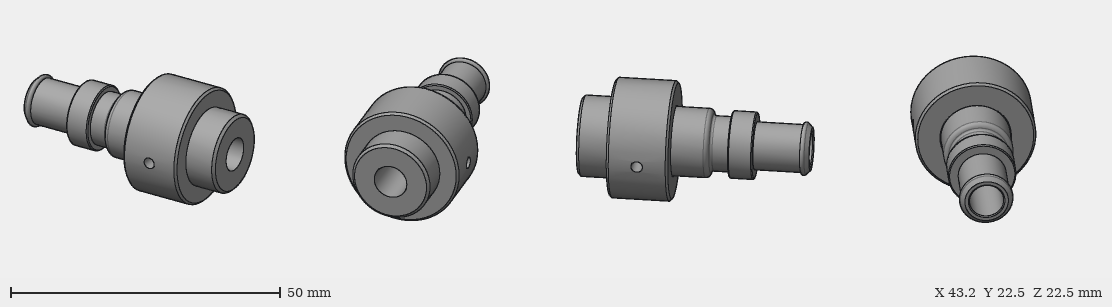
import cadquery as cq
import math

total_length = 43.15

neck_radius = 4.5
bead_radius = 0.5
bead_center_x = 1.15
lead_in_angle = math.radians(45)

collar_start = 10.4
collar_end = 14.95
collar_radius = 6.3
collar_chamfer = 0.2

groove_radius = 5.18
shoulder_radius = 6.45
blend_start = 18.0
blend_foot_radius = 0.5
blend_top_radius = 1.0

body_start = 25.55
body_end = 37.05
body_diameter = 22.48
body_radius = body_diameter / 2
body_chamfer = 0.45
shoulder_clearance = 0.17
clearance_depth = 0.45
shoulder_end = body_start + clearance_depth
spigot_radius = 7.6
spigot_chamfer = 0.5

bore_radius = 3.2
bore_chamfer = 0.2

side_hole_radius = 1.1
side_hole_depth = 4.3


def cylinder(start, end, radius):
    """Solid cylinder about the X axis between two X positions."""
    return cq.Workplane("YZ", origin=(start, 0, 0)).circle(radius).extrude(end - start)


def make_nozzle():
    """Neck with a conical lead-in that runs tangent into a round bead."""
    tangent_x = bead_center_x - bead_radius * math.sin(lead_in_angle)
    tangent_radius = neck_radius + bead_radius * math.cos(lead_in_angle)
    tip_radius = tangent_radius - tangent_x * math.tan(lead_in_angle)
    return (
        cq.Workplane("XY")
        .lineTo(0, tip_radius)
        .lineTo(tangent_x, tangent_radius)
        .threePointArc(
            (bead_center_x, neck_radius + bead_radius),
            (bead_center_x + bead_radius, neck_radius),
        )
        .lineTo(collar_start, neck_radius)
        .lineTo(collar_start, 0)
        .close()
        .revolve(360, (0, 0, 0), (1, 0, 0))
    )


def make_collar():
    return cylinder(collar_start, collar_end, collar_radius).faces("<X or >X").chamfer(collar_chamfer)


def make_groove_and_shoulder():
    """Groove floor rising to the shoulder through two mutually tangent arcs."""
    foot_center_radius = groove_radius + blend_foot_radius
    top_center_radius = shoulder_radius - blend_top_radius
    center_distance = blend_foot_radius + blend_top_radius
    radial_offset = foot_center_radius - top_center_radius
    blend_length = math.sqrt(center_distance**2 - radial_offset**2)
    blend_end = blend_start + blend_length

    foot_share = blend_foot_radius / center_distance
    meeting_point = (
        blend_start + foot_share * blend_length,
        foot_center_radius - foot_share * radial_offset,
    )
    return (
        cq.Workplane("XY")
        .moveTo(collar_end, 0)
        .lineTo(collar_end, groove_radius)
        .lineTo(blend_start, groove_radius)
        .tangentArcPoint(meeting_point, relative=False)
        .tangentArcPoint((blend_end, shoulder_radius), relative=False)
        .lineTo(shoulder_end, shoulder_radius)
        .lineTo(shoulder_end, 0)
        .close()
        .revolve(360, (0, 0, 0), (1, 0, 0))
    )


def make_body():
    """Chamfered body with a shallow recess that clears the shoulder."""
    body = cylinder(body_start, body_end, body_radius).faces("<X or >X").chamfer(body_chamfer)
    return body.cut(cylinder(body_start, shoulder_end, shoulder_radius + shoulder_clearance))


def make_spigot():
    return cylinder(body_end, total_length, spigot_radius).faces(">X").chamfer(spigot_chamfer)


def make_bore():
    bore = cylinder(0, total_length, bore_radius)
    mouth = cq.Workplane("YZ").circle(bore_radius + bore_chamfer)
    mouth = mouth.workplane(offset=bore_chamfer).circle(bore_radius).loft()
    return bore.union(mouth)


def make_side_holes():
    middle_x = (body_start + body_end) / 2
    hole = (
        cq.Workplane("XZ", origin=(middle_x, -body_radius, 0))
        .circle(side_hole_radius)
        .extrude(-side_hole_depth)
    )
    return hole.union(hole.mirror("XZ"))


result = (
    make_nozzle()
    .union(make_collar())
    .union(make_groove_and_shoulder())
    .union(make_body())
    .union(make_spigot())
    .cut(make_bore())
    .cut(make_side_holes())
)